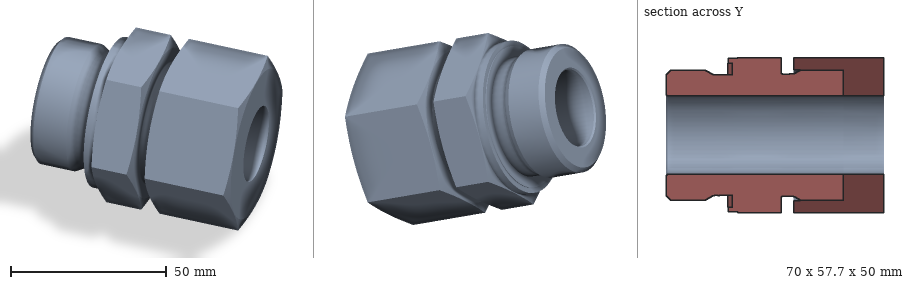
import cadquery as cq
import math


overall_length = 70.0
seal_face_x = 19.7
collar_x = 19.95
body_hex_x = 22.95
body_hex_length = 14.1
nut_length = 29.0
stub_end_x = 57.0

across_flats = 50.0
across_corners = across_flats / math.cos(math.radians(30))
hex_chamfer_radius = 24.8
hex_chamfer_angle = 15

thread_radius = 20.9
thread_chamfer = 1.5
thread_end_x = 12.7
relief_radius = 19.45
collar_radius = 24.8

stub_radius = 21.0
stub_relief_radius = 19.75
stub_relief_end_x = 41.0
stub_root_fillet = 0.5

relief_cone_angle = 30
relief_fillet = 1.5

bore_radius = 12.5
bore_chamfer = 0.5

seal_radius = 23.0
seal_thickness = 1.5

body_hex_end_x = body_hex_x + body_hex_length
nut_x = overall_length - nut_length
seal_back_x = seal_face_x + seal_thickness


def cone_length(rise):
    """Length along X of a relief cone with the given change of radius."""
    return rise / math.tan(math.radians(relief_cone_angle))


relief_start_x = thread_end_x + cone_length(thread_radius - relief_radius)
stub_start_x = stub_relief_end_x + cone_length(stub_radius - stub_relief_radius)


def revolve_profile(points):
    """Solid of revolution about the X axis from (x, radius) points."""
    return cq.Workplane("XY").polyline(points).close().revolve(360, (0, 0, 0), (1, 0, 0))


def cylinder(start_x, end_x, radius):
    """Solid cylinder on the X axis."""
    return cq.Workplane("YZ", origin=(start_x, 0, 0)).circle(radius).extrude(end_x - start_x)


def chamfered_hexagon(start_x, length):
    """Hexagonal prism with flats at top and bottom and both ends turned to a shallow cone."""
    end_x = start_x + length
    corner_radius = across_corners / 2
    setback = (corner_radius - hex_chamfer_radius) * math.tan(math.radians(hex_chamfer_angle))
    prism = cq.Workplane("YZ", origin=(start_x, 0, 0)).polygon(6, across_corners).extrude(length)
    turned_envelope = revolve_profile([
        (start_x, 0),
        (start_x, hex_chamfer_radius),
        (start_x + setback, corner_radius),
        (end_x - setback, corner_radius),
        (end_x, hex_chamfer_radius),
        (end_x, 0),
    ])
    return prism.intersect(turned_envelope)


def circle_edge_at(x, radius):
    """Selector for the circular edge around the X axis at one station and radius."""
    tolerance = 0.01
    reach = radius + tolerance
    return cq.selectors.BoxSelector(
        (x - tolerance, -reach, -reach), (x + tolerance, reach, reach), boundingbox=True
    )


def make_screw_in_end():
    """Thread, relief groove and collar."""
    screw_in_end = revolve_profile([
        (0, 0),
        (0, thread_radius - thread_chamfer),
        (thread_chamfer, thread_radius),
        (thread_end_x, thread_radius),
        (relief_start_x, relief_radius),
        (collar_x, relief_radius),
        (collar_x, collar_radius),
        (body_hex_x, collar_radius),
        (body_hex_x, 0),
    ])
    return screw_in_end.edges(circle_edge_at(relief_start_x, relief_radius)).fillet(relief_fillet)


def make_stub():
    """Relief groove behind the hexagon and the stub that fills the nut."""
    stub = revolve_profile([
        (body_hex_end_x, 0),
        (body_hex_end_x, stub_relief_radius),
        (stub_relief_end_x, stub_relief_radius),
        (stub_start_x, stub_radius),
        (stub_end_x, stub_radius),
        (stub_end_x, 0),
    ])
    return stub.edges(circle_edge_at(stub_relief_end_x, stub_relief_radius)).fillet(relief_fillet)


def make_seal():
    """Flat ring around the relief groove, standing slightly proud of the collar."""
    outside = cylinder(seal_face_x, seal_back_x, seal_radius)
    return outside.cut(cylinder(seal_face_x, seal_back_x, relief_radius))


def make_body():
    body = make_screw_in_end().union(chamfered_hexagon(body_hex_x, body_hex_length)).union(make_stub())
    body = body.edges(circle_edge_at(body_hex_end_x, stub_relief_radius)).fillet(stub_root_fillet)

    body = body.cut(make_seal())

    body = body.cut(cylinder(0, stub_end_x, bore_radius))
    return body.edges(circle_edge_at(0, bore_radius)).chamfer(bore_chamfer)


def make_nut():
    """Hexagonal nut: a wide bore around the stub and an end wall with the tube hole."""
    nut = chamfered_hexagon(nut_x, nut_length)
    nut = nut.cut(cylinder(nut_x, stub_end_x, stub_radius))
    return nut.cut(cylinder(stub_end_x, overall_length, bore_radius))


body = make_body()
seal = make_seal()
nut = make_nut()

result = cq.Compound.makeCompound([body.val(), seal.val(), nut.val()])